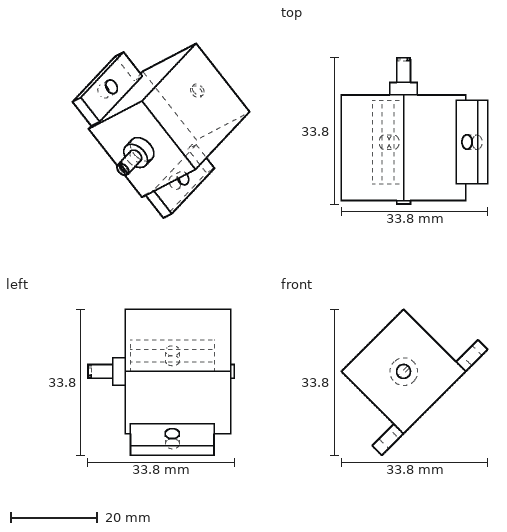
import cadquery as cq

body_side = 20.33
body_length = 24.43
tilt = 45.0
upper_tab_reach = 7.17
lower_tab_reach = 7.07
tab_thickness = 3.2
tab_length = 19.3
tab_setback = 1.25
tab_hole_diameter = 3.3
upper_hole_offset = 3.6
lower_hole_offset = 3.18
shaft_diameter = 3.2
shaft_length = 5.75
collar_diameter = 6.4
collar_length = 2.85
stub_length = 0.78
slot_width = 0.65
slot_depth = 0.75

body_back = body_length / 2
body_front = -body_back
collar_back = body_back + collar_length
shaft_back = collar_back + shaft_length
body_bottom = -body_side / 2
tab_center_y = body_back - tab_setback - tab_length / 2
tab_center_z = body_bottom + tab_thickness / 2


def cylinder_along_y(diameter, start_y, length):
    """Cylinder on the Y axis, growing towards +Y from start_y."""
    axis = cq.Vector(0, 1, 0)
    return cq.Workplane(cq.Solid.makeCylinder(diameter / 2, length, cq.Vector(0, start_y, 0), axis))


def mounting_tab(side, reach, hole_offset):
    """Drilled tab flush with the bottom of the body; side is -1 or +1."""
    tab = cq.Workplane().box(reach, tab_length, tab_thickness)
    hole_x = side * (hole_offset - reach / 2)
    tab = tab.faces(">Z").workplane().center(hole_x, 0).hole(tab_hole_diameter)
    center_x = side * (body_side + reach) / 2
    return tab.translate((center_x, tab_center_y, tab_center_z))


def screwdriver_slot():
    """Slot across the back end of the shaft, parallel to the mounting face."""
    slot = cq.Workplane().box(shaft_diameter, slot_depth, slot_width)
    return slot.translate((0, shaft_back - slot_depth / 2, 0))


part = cq.Workplane().box(body_side, body_length, body_side)
part = part.union(mounting_tab(1, upper_tab_reach, upper_hole_offset))
part = part.union(mounting_tab(-1, lower_tab_reach, lower_hole_offset))

part = part.union(cylinder_along_y(collar_diameter, body_back, collar_length))
part = part.union(cylinder_along_y(shaft_diameter, collar_back, shaft_length))
part = part.union(cylinder_along_y(shaft_diameter, body_front - stub_length, stub_length))
part = part.cut(screwdriver_slot())

result = part.rotate((0, 0, 0), (0, 1, 0), -tilt)